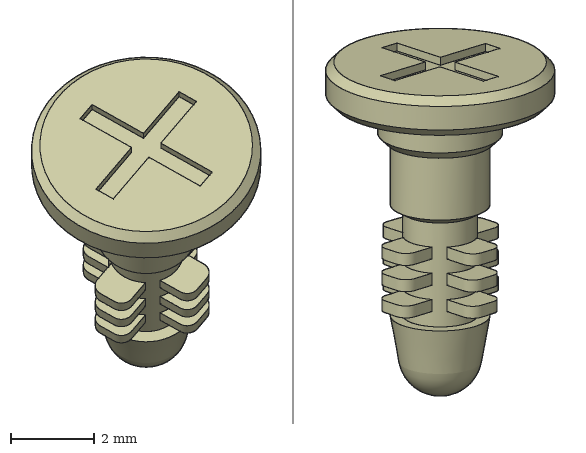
import cadquery as cq
import math

total_height = 8.4

head_diameter = 5.5
head_height = 1.0
head_chamfer = 0.2

collar_diameter = 3.0
collar_height = 1.0
collar_chamfer = 0.2

shank_diameter = 2.4
shank_height = 1.77
shank_taper_angle = 30.0

neck_diameter = 1.8

barb_diameter = shank_diameter
barb_height = 2.0
barb_taper_angle = 10.0

fin_width = 1.0
fin_thickness = 0.3
fin_span = 3.27
fin_corner_radius = 0.3
fin_row_count = 3
fin_row_pitch = 0.66
fin_middle_height = 3.2

recess_length = 3.5
recess_width = 0.5
recess_depth = 0.2


def make_body():
    """Revolve the half profile of the pin about the Z axis."""
    head_radius = head_diameter / 2
    collar_radius = collar_diameter / 2
    shank_radius = shank_diameter / 2
    neck_radius = neck_diameter / 2
    barb_radius = barb_diameter / 2

    head_bottom = total_height - head_height
    collar_bottom = head_bottom - collar_height
    shank_bottom = collar_bottom - shank_height
    shank_taper_height = (shank_radius - neck_radius) * math.tan(math.radians(shank_taper_angle))

    taper = math.radians(barb_taper_angle)
    tip_radius = (barb_radius * math.cos(taper) - barb_height * math.sin(taper)) / (1 - math.sin(taper))
    tangent_radius = tip_radius * math.cos(taper)
    tangent_height = tip_radius * (1 - math.sin(taper))
    arc_middle_angle = (math.pi / 2 + taper) / 2
    arc_middle_radius = tip_radius * math.cos(arc_middle_angle)
    arc_middle_height = tip_radius * (1 - math.sin(arc_middle_angle))

    profile = (
        cq.Workplane("XZ")
        .moveTo(0, total_height)
        .lineTo(head_radius - head_chamfer, total_height)
        .lineTo(head_radius, total_height - head_chamfer)
        .lineTo(head_radius, head_bottom + head_chamfer)
        .lineTo(head_radius - head_chamfer, head_bottom)
        .lineTo(collar_radius, head_bottom)
        .lineTo(collar_radius, collar_bottom + collar_chamfer)
        .lineTo(collar_radius - collar_chamfer, collar_bottom)
        .lineTo(shank_radius, collar_bottom)
        .lineTo(shank_radius, shank_bottom + shank_taper_height)
        .lineTo(neck_radius, shank_bottom)
        .lineTo(neck_radius, barb_height)
        .lineTo(barb_radius, barb_height)
        .lineTo(tangent_radius, tangent_height)
        .threePointArc((arc_middle_radius, arc_middle_height), (0, 0))
        .close()
    )
    return profile.revolve(360, (0, 0, 0), (0, 1, 0))


def make_fin_row(middle_height):
    """Make one row: two crossed bars with rounded ends, giving a fin on each side of the neck."""
    bar = (
        cq.Workplane("XY")
        .box(fin_span, fin_width, fin_thickness)
        .edges("|Z")
        .fillet(fin_corner_radius)
        .translate((0, 0, middle_height))
    )
    return bar.union(bar.rotate((0, 0, 0), (0, 0, 1), 90))


def make_cross_recess():
    """Make the cross-shaped cutter that is sunk into the top of the head."""
    floor = cq.Workplane("XY").workplane(offset=total_height - recess_depth)
    arm_x = floor.rect(recess_length, recess_width).extrude(recess_depth)
    arm_y = floor.rect(recess_width, recess_length).extrude(recess_depth)
    return arm_x.union(arm_y)


result = make_body()
for row in range(fin_row_count):
    row_offset = (row - (fin_row_count - 1) / 2) * fin_row_pitch
    result = result.union(make_fin_row(fin_middle_height + row_offset))
result = result.cut(make_cross_recess())